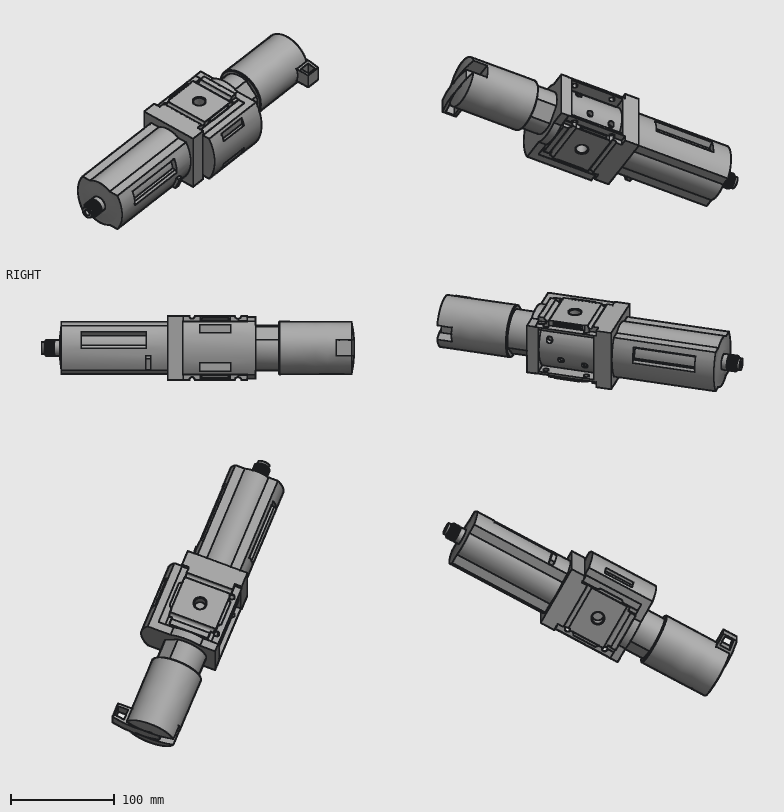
import cadquery as cq
import math

length = 302.0

overall_width = 77.0

block_size = 62.0
half = block_size / 2
block_start = 121.5
block_end = 206.5
band_start = 198.3
band_level = 25.7
crown_radius = 30.0

cover_start = 136.0
cover_flat_end = 39.0
cover_reach = overall_width - half
cover_slot_length = 30.2
cover_slot_inner = 40.8
cover_slot_width = 3.3
cover_slot_level = 14.5

rail_start = 136.7
rail_level = 25.5
plate_half_width = 23.8
notch_start = 190.0
notch_half_width = 20.0
notch_level = 26.3
grooves = ((189.5, 6.0), (145.2, 4.8))
groove_depth = 2.7
port_y = 167.5
port_diameter = 11.5
port_mouth_diameter = 13.0
port_mouth_depth = 1.0
port_depth = 12.0
tab_length = 29.0
tab_reach = 3.0
tab_corner = 2.5
tab_top = 30.0
tab_edge = 1.0
tab_root_level = 27.0
rail_hole_diameter = 5.5
rail_hole_x = -25.5
rail_hole_positions = (189.0, 148.2)

window_start = 139.2
window_end = 195.0
window_half_height = 23.0
core_radius = 29.0
sensor_hole_diameter = 6.0
sensor_hole_depth = 4.5
sensor_holes = ((185.0, 11.2), (173.3, -8.8), (149.7, -11.5))

bowl_start = 19.0
bowl_side = 28.0
bowl_corner = 22.0
bowl_flat = 21.5
bowl_crown = 25.5
bowl_crown_half_width = 12.5
cone_diameter = 43.5
cone_end_diameter = 23.2
cone_height = 1.2
liner_radius = 23.0
sight_start = 38.3
sight_end = 100.8
sight_outline = [
    (-18.0, 2.5),
    (-26.0, 2.5),
    (-30.8, -3.3),
    (-30.8, 17.0),
    (-26.5, 17.0),
    (-18.0, 11.0),
]
latch_start = 100.5
latch_length = 4.8
latch_outline = [(21.0, -20.8), (26.5, -20.8), (30.5, -10.5), (30.5, -7.5), (26.5, -7.5)]

stud_diameter = 15.7
stud_start = 12.5
upper_neck_diameter = 11.5
knurl_end = 11.0
knurl_start = 3.5
knurl_chamfer = 1.0
lower_neck_diameter = 11.0
tip_diameter = 11.8
tip_height = 2.7
knurl_count = 24
knurl_depth = 1.0
knurl_width = 1.0
drain_bore_diameter = 6.0
drain_bore_depth = 6.0

neck_diameter = 43.8
neck_radius = neck_diameter / 2
neck_flats = 39.8
neck_flat_angle = 45.0
knob_diameter = 51.0
knob_base_diameter = 51.3
knob_radius = knob_diameter / 2
knob_base_radius = knob_base_diameter / 2
knob_start = 228.8
knob_chamfer = 0.75
dome_height = 2.7

slide_start = 284.5
slide_height = 15.5
slide_half_length = 24.5
slide_travel = 14.5
eye_start = 287.0
eye_inner = 27.5
eye_outer = 37.5
eye_top_wall = 3.3


def box(x0, x1, y0, y1, z0, z1):
    return cq.Workplane("XY").box(x1 - x0, y1 - y0, z1 - z0, centered=False).translate((x0, y0, z0))


def section(y):
    """XZ workplane at height y; its extrusions run towards +Y when their length is negative."""
    return cq.Workplane("XZ", origin=(0, y, 0))


def rod(radius, y0, y1):
    return section(y0).circle(radius).extrude(y0 - y1)


def with_mirror(shape, plane):
    return shape.union(shape.mirror(plane))


def dome_drop(x):
    """Distance from the top of the knob dome down to its surface at the offset x."""
    dome_radius = (knob_radius**2 + dome_height**2) / (2 * dome_height)
    return dome_radius - math.sqrt(dome_radius**2 - x**2)


def make_block():
    block = box(-half, half, block_start, block_end, -half, half)
    band = box(-half, half, band_start, block_end, band_level, half)
    block = block.cut(with_mirror(band, "XY"))
    crown = rod(crown_radius, band_start, block_end)
    return block.union(crown)


def make_cover():
    cover = (
        section(cover_start)
        .moveTo(half, -band_level)
        .lineTo(cover_flat_end, -band_level)
        .threePointArc((cover_reach, 0), (cover_flat_end, band_level))
        .lineTo(half, band_level)
        .close()
        .extrude(cover_start - block_end)
    )
    slot_outer = cover_slot_inner + cover_slot_width
    slot_start = port_y - cover_slot_length / 2
    slot_end = port_y + cover_slot_length / 2
    slot = box(cover_slot_inner, slot_outer, slot_start, slot_end, cover_slot_level, band_level)
    return cover.cut(with_mirror(slot, "XY"))


def plate_cuts():
    """Rails beside the plate, corner notches, cross grooves and the port of the +Z face."""
    rail = box(-half, -plate_half_width, rail_start, band_start, rail_level, half)
    notch = box(-plate_half_width, -notch_half_width, notch_start, band_start, notch_level, half)
    cuts = with_mirror(rail.union(notch), "YZ")
    for y, width in grooves:
        groove_radius = ((width / 2)**2 + groove_depth**2) / (2 * groove_depth)
        groove_axis_z = half - groove_depth + groove_radius
        groove = (
            cq.Workplane("YZ", origin=(-plate_half_width, y, groove_axis_z))
            .circle(groove_radius)
            .extrude(2 * plate_half_width)
        )
        cuts = cuts.union(groove)
    port_plane = cq.Workplane("XY", origin=(0, port_y, half))
    port = port_plane.circle(port_diameter / 2).extrude(-port_depth)
    mouth = (
        port_plane.circle(port_mouth_diameter / 2)
        .workplane(offset=-port_mouth_depth)
        .circle(port_diameter / 2)
        .loft()
    )
    return cuts.union(port).union(mouth)


def make_tab():
    """Undercut clamping tab on the -X edge of the plate."""
    root = -plate_half_width
    tip = root - tab_reach
    tab = (
        section(port_y - tab_length / 2)
        .moveTo(root, tab_top)
        .lineTo(tip, tab_top)
        .lineTo(tip, tab_top - tab_edge)
        .lineTo(root, tab_root_level)
        .close()
        .extrude(-tab_length)
    )
    outline = (
        cq.Workplane("XY")
        .moveTo(root, port_y - tab_length / 2)
        .lineTo(tip, port_y - tab_length / 2 + tab_corner)
        .lineTo(tip, port_y + tab_length / 2 - tab_corner)
        .lineTo(root, port_y + tab_length / 2)
        .close()
        .extrude(half)
    )
    return tab.intersect(outline)


def window_cut():
    """Recess in the -X face down to the round core, with the sensor holes in the core."""
    window = box(-half, 0, window_start, window_end, -window_half_height, window_half_height)
    window = window.cut(rod(core_radius, window_start, window_end))
    for y, z in sensor_holes:
        core_surface = math.sqrt(core_radius**2 - z**2)
        hole = (
            cq.Workplane("YZ", origin=(-half, y, z))
            .circle(sensor_hole_diameter / 2)
            .extrude(half - core_surface + sensor_hole_depth)
        )
        window = window.union(hole)
    return window


def rail_holes():
    """Holes through the thin walls above and below the window, on its -X edge."""
    holes = (
        cq.Workplane("XY", origin=(0, 0, window_half_height))
        .pushPoints([(rail_hole_x, y) for y in rail_hole_positions])
        .circle(rail_hole_diameter / 2)
        .extrude(half - window_half_height)
    )
    return with_mirror(holes, "XY")


def sight_window_cut():
    """Recess in the -X side of the bowl down to the round liner, chamfered along its lower edge."""
    recess = section(sight_start).polyline(sight_outline).close().extrude(sight_start - sight_end)
    return recess.cut(rod(liner_radius, sight_start, sight_end))


def make_latch():
    """Small bowl latch on the lower +X side."""
    return section(latch_start).polyline(latch_outline).close().extrude(-latch_length)


def make_bowl():
    bowl = (
        section(bowl_start)
        .moveTo(-bowl_corner, -bowl_flat)
        .threePointArc((-bowl_side, 0), (-bowl_corner, bowl_flat))
        .lineTo(-bowl_crown_half_width, bowl_flat)
        .threePointArc((0, bowl_crown), (bowl_crown_half_width, bowl_flat))
        .lineTo(bowl_corner, bowl_flat)
        .threePointArc((bowl_side, 0), (bowl_corner, -bowl_flat))
        .lineTo(bowl_crown_half_width, -bowl_flat)
        .threePointArc((0, -bowl_crown), (-bowl_crown_half_width, -bowl_flat))
        .close()
        .extrude(bowl_start - block_start)
    )
    return bowl.cut(with_mirror(sight_window_cut(), "YZ")).union(make_latch())


def make_drain():
    """Shallow cone under the bowl and the knurled drain connection below it."""
    stud_radius = stud_diameter / 2
    profile = [
        (0, bowl_start),
        (cone_diameter / 2, bowl_start),
        (cone_end_diameter / 2, bowl_start - cone_height),
        (stud_radius, bowl_start - cone_height),
        (stud_radius, stud_start),
        (upper_neck_diameter / 2, stud_start),
        (upper_neck_diameter / 2, knurl_end),
        (stud_radius, knurl_end),
        (stud_radius, knurl_start + knurl_chamfer),
        (stud_radius - knurl_chamfer, knurl_start),
        (lower_neck_diameter / 2, knurl_start),
        (lower_neck_diameter / 2, tip_height),
        (tip_diameter / 2, tip_height),
        (tip_diameter / 2, 0),
        (0, 0),
    ]
    drain = cq.Workplane("XY").polyline(profile).close().revolve(360, (0, 0, 0), (0, 1, 0))
    groove = box(stud_radius - knurl_depth, stud_radius, knurl_start, knurl_end,
                 -knurl_width / 2, knurl_width / 2)
    for i in range(knurl_count):
        drain = drain.cut(groove.rotate((0, 0, 0), (0, 1, 0), i * 360 / knurl_count))
    return drain.cut(rod(drain_bore_diameter / 2, 0, drain_bore_depth))


def make_neck():
    neck = rod(neck_radius, block_end, knob_start)
    flats = box(-neck_flats / 2, neck_flats / 2, block_end, knob_start, -neck_radius, neck_radius)
    return neck.intersect(flats.rotate((0, 0, 0), (0, 1, 0), -neck_flat_angle))


def make_knob():
    shoulder = length - dome_height
    knob = (
        cq.Workplane("XY")
        .moveTo(0, knob_start)
        .lineTo(knob_base_radius - knob_chamfer, knob_start)
        .lineTo(knob_base_radius, knob_start + knob_chamfer)
        .lineTo(knob_radius, shoulder)
        .threePointArc((knob_radius / 2, length - dome_drop(knob_radius / 2)), (0, length))
        .close()
        .revolve(360, (0, 0, 0), (0, 1, 0))
    )
    slot = box(-knob_base_radius, knob_base_radius, slide_start, length, -slide_height / 2, slide_height / 2)
    return knob.cut(slot)


def make_regulator():
    top_cuts = plate_cuts()
    block = make_block().cut(with_mirror(top_cuts, "XY"))
    tabs = with_mirror(with_mirror(make_tab(), "YZ"), "XY")
    block = block.union(tabs).cut(window_cut()).cut(rail_holes())
    regulator = block.union(make_cover())
    for piece in (make_bowl(), make_drain(), make_neck(), make_knob()):
        regulator = regulator.union(piece)
    return regulator


def make_lock_slide():
    """Slide with a padlock eye; its top follows the dome of the knob when it is pushed in."""
    left = slide_travel - slide_half_length
    right = slide_travel + slide_half_length
    shoulder = length - dome_drop(slide_half_length)
    base = cq.Workplane("XY", origin=(0, 0, -slide_height / 2))
    slide = (
        base.moveTo(left, slide_start)
        .lineTo(right, slide_start)
        .lineTo(right, shoulder)
        .threePointArc((slide_travel, length), (left, shoulder))
        .close()
        .extrude(slide_height)
    )
    eye = (
        base.moveTo(eye_inner, eye_start)
        .lineTo(eye_outer, eye_start)
        .lineTo(eye_outer, length - dome_drop(eye_outer - slide_travel) - eye_top_wall)
        .lineTo(eye_inner, length - dome_drop(eye_inner - slide_travel) - eye_top_wall)
        .close()
        .extrude(slide_height)
    )
    return slide.cut(eye)


regulator = make_regulator()
lock_slide = make_lock_slide()

result = cq.Compound.makeCompound([regulator.val(), lock_slide.val()])